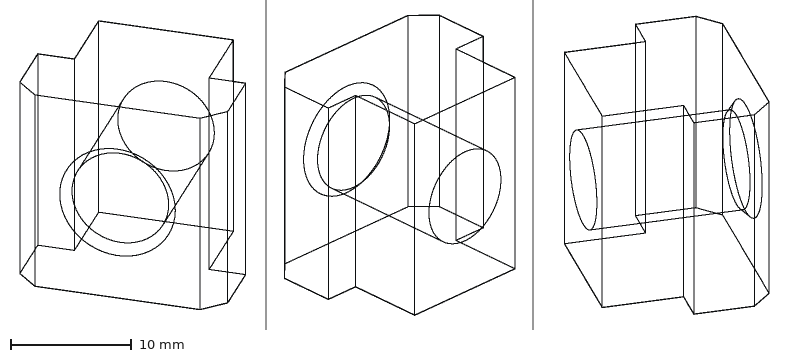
import cadquery as cq

length = 18.0
head_width = 18.0
total_depth = 14.0
head_depth = total_depth / 2
neck_width = 11.66
chamfer_width = 1.85
chamfer_depth = 1.8
bore_diameter = 8.37
countersink_diameter = 10.0

front_y = -total_depth / 2
back_y = front_y + total_depth
shoulder_y = front_y + head_depth
half_head = head_width / 2
half_neck = neck_width / 2


def make_body():
    """T-shaped profile with bevelled front edges, extruded along Z."""
    right_half = [
        (half_head - chamfer_width, front_y),
        (half_head, front_y + chamfer_depth),
        (half_head, shoulder_y),
        (half_neck, shoulder_y),
        (half_neck, back_y),
    ]
    left_half = [(-x, y) for x, y in reversed(right_half)]
    profile = cq.Workplane("XY").polyline(right_half + left_half).close()
    return profile.extrude(length / 2, both=True)


def make_bore():
    """Through bore along Y with a 45 degree countersink at the front."""
    bore_radius = bore_diameter / 2
    countersink_radius = countersink_diameter / 2
    countersink_depth = countersink_radius - bore_radius
    half_section = [
        (0, front_y),
        (countersink_radius, front_y),
        (bore_radius, front_y + countersink_depth),
        (bore_radius, back_y),
        (0, back_y),
    ]
    section = cq.Workplane("XY").polyline(half_section).close()
    return section.revolve(360, (0, 0, 0), (0, 1, 0))


result = make_body().cut(make_bore())